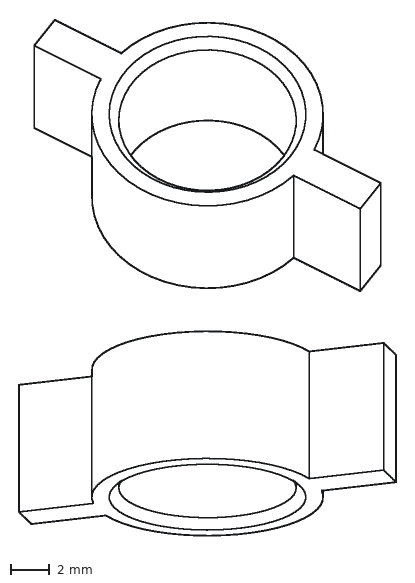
import cadquery as cq

span = 20.0
height = 7.0
ring_diameter = 12.0
bore_diameter = 9.2
wing_thickness = 2.0
chamfer_size = 0.5

ring = cq.Workplane("XY").circle(ring_diameter / 2).extrude(height)
wings = cq.Workplane("XY").rect(span, wing_thickness).extrude(height)
body = ring.union(wings)

bore = cq.Workplane("XY").circle(bore_diameter / 2).extrude(height)
result = body.cut(bore)
bore_edges = cq.selectors.RadiusNthSelector(0)
result = result.edges(bore_edges).chamfer(chamfer_size)